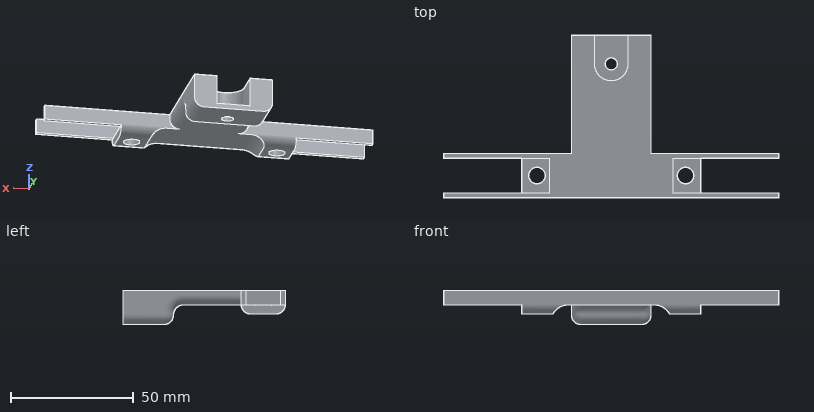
import cadquery as cq
import math


bar_length = 136.37
bar_depth = 18.1
bar_thickness = 6.0
arm_gap = 14.0
web_half_length = 25.2

pad_bottom = 9.7
pad_round = 4.0
pad_outer_x = 36.4
pad_inner_x = 23.7
flare_end_x = 17.5
pad_hole_diameter = 6.6
pad_hole_x = 30.2

total_depth = 66.1
stem_width = 32.5
head_height = 14.0
head_length = 20.6
neck_radius = 4.0
flat_sliver = 0.001
edge_round = head_height - bar_thickness - neck_radius - flat_sliver

head_slot_width = 13.7
head_slot_length = 18.5
head_slot_depth = 12.0
head_hole_diameter = 4.8

bar_middle_y = bar_depth / 2
slot_centre_y = total_depth - head_slot_length + head_slot_width / 2


def rounded_bar():
    """Bar along X with the full pad height and both lower long edges rounded."""
    bar = cq.Workplane("XY").box(bar_length, bar_depth, pad_bottom, centered=(True, False, False))
    bar = bar.translate((0, 0, -pad_bottom))
    return bar.edges("|X and <Z").fillet(pad_round)


def side_outline():
    """Side shape of bar and pads: the pads rise to the bar in a hollow arc on their inner side."""
    pad_drop = pad_bottom - bar_thickness
    flare_run = pad_inner_x - flare_end_x
    flare_radius = (flare_run**2 + pad_drop**2) / (2 * pad_drop)
    half_angle = math.asin(flare_run / flare_radius) / 2
    arc_x = flare_end_x + flare_radius * math.sin(half_angle)
    arc_z = -bar_thickness - flare_radius * (1 - math.cos(half_angle))

    half_bar = bar_length / 2
    outline = (
        cq.Workplane("XZ")
        .lineTo(half_bar, 0)
        .lineTo(half_bar, -bar_thickness)
        .lineTo(pad_outer_x, -bar_thickness)
        .lineTo(pad_outer_x, -pad_bottom)
        .lineTo(pad_inner_x, -pad_bottom)
        .threePointArc((arc_x, arc_z), (flare_end_x, -bar_thickness))
        .lineTo(0, -bar_thickness)
        .close()
        .extrude(-bar_depth)
    )
    return outline.union(outline.mirror("YZ"))


def crossbar():
    return rounded_bar().intersect(side_outline())


def stem():
    """Stem whose head steps down through a hollow arc, with all lower edges rounded."""
    head_front_y = total_depth - head_length
    body = (
        cq.Workplane("YZ")
        .moveTo(bar_middle_y, 0)
        .lineTo(total_depth, 0)
        .lineTo(total_depth, -head_height)
        .lineTo(head_front_y, -head_height)
        .lineTo(head_front_y, -bar_thickness - neck_radius)
        .radiusArc((head_front_y - neck_radius, -bar_thickness), -neck_radius)
        .lineTo(bar_middle_y, -bar_thickness)
        .close()
        .extrude(stem_width / 2, both=True)
    )
    bottom_edges = body.faces("<Z").edges("not >Y")
    upright_edges = body.edges("|Z").edges("<Z")
    return body.newObject(bottom_edges.vals() + upright_edges.vals()).fillet(edge_round)


def arm_gaps():
    """Openings between the arms, above the pads."""
    gap_length = bar_length / 2 - web_half_length
    gap_x = web_half_length + gap_length / 2
    return (
        cq.Workplane("XY")
        .pushPoints([(-gap_x, bar_middle_y), (gap_x, bar_middle_y)])
        .rect(gap_length, arm_gap)
        .extrude(-bar_thickness)
    )


def pad_holes():
    return (
        cq.Workplane("XY")
        .pushPoints([(-pad_hole_x, bar_middle_y), (pad_hole_x, bar_middle_y)])
        .circle(pad_hole_diameter / 2)
        .extrude(-pad_bottom)
    )


def head_slot():
    """Slot open at the end of the head, with a round inner end."""
    straight_length = total_depth - slot_centre_y
    straight = (
        cq.Workplane("XY")
        .center(0, slot_centre_y + straight_length / 2)
        .rect(head_slot_width, straight_length)
        .extrude(-head_slot_depth)
    )
    round_end = (
        cq.Workplane("XY")
        .center(0, slot_centre_y)
        .circle(head_slot_width / 2)
        .extrude(-head_slot_depth)
    )
    return straight.union(round_end)


def head_hole():
    return (
        cq.Workplane("XY")
        .center(0, slot_centre_y)
        .circle(head_hole_diameter / 2)
        .extrude(-head_height)
    )


result = crossbar().union(stem())
for opening in (arm_gaps(), pad_holes(), head_slot(), head_hole()):
    result = result.cut(opening)